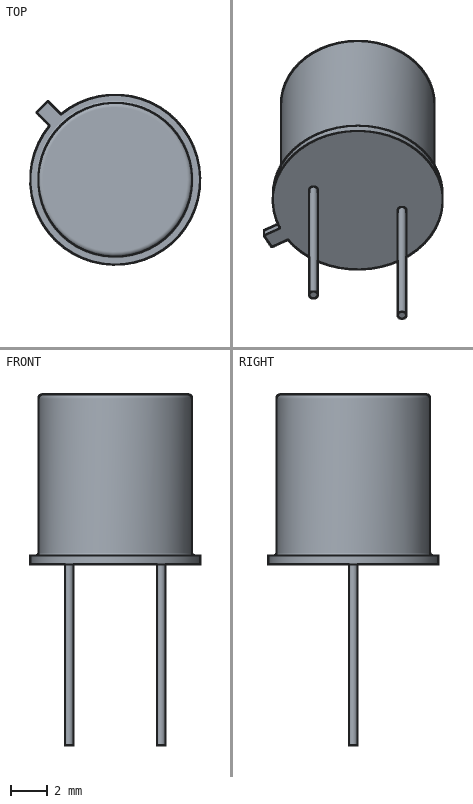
import cadquery as cq

flange_diameter = 9.4
flange_thickness = 0.5

can_diameter = 8.5
can_top = 9.4
can_top_radius = 0.25
can_foot_radius = 0.12

tab_width = 0.9
tab_reach = 5.7
tab_angle = 135

lead_diameter = 0.48
lead_length = 10.0
lead_pitch = 5.08


def make_flange():
    return cq.Workplane("XY").circle(flange_diameter / 2).extrude(flange_thickness)


def make_can():
    """Revolved cap with a rounded top edge and a concave fillet at its foot."""
    can_radius = can_diameter / 2
    foot_radius = can_radius + can_foot_radius
    foot_top = flange_thickness + can_foot_radius
    profile = (
        cq.Workplane("XZ")
        .moveTo(0, 0)
        .lineTo(foot_radius, 0)
        .lineTo(foot_radius, flange_thickness)
        .radiusArc((can_radius, foot_top), can_foot_radius)
        .lineTo(can_radius, can_top - can_top_radius)
        .radiusArc((can_radius - can_top_radius, can_top), -can_top_radius)
        .lineTo(0, can_top)
        .close()
    )
    return profile.revolve(360, (0, 0, 0), (0, 1, 0))


def make_tab():
    tab = cq.Workplane("XY").box(tab_reach, tab_width, flange_thickness, centered=(False, True, False))
    return tab.rotate((0, 0, 0), (0, 0, 1), tab_angle)


def make_leads():
    lead_places = [(-lead_pitch / 2, 0), (lead_pitch / 2, 0)]
    return cq.Workplane("XY").pushPoints(lead_places).circle(lead_diameter / 2).extrude(-lead_length)


result = make_flange().union(make_can()).union(make_tab()).union(make_leads())